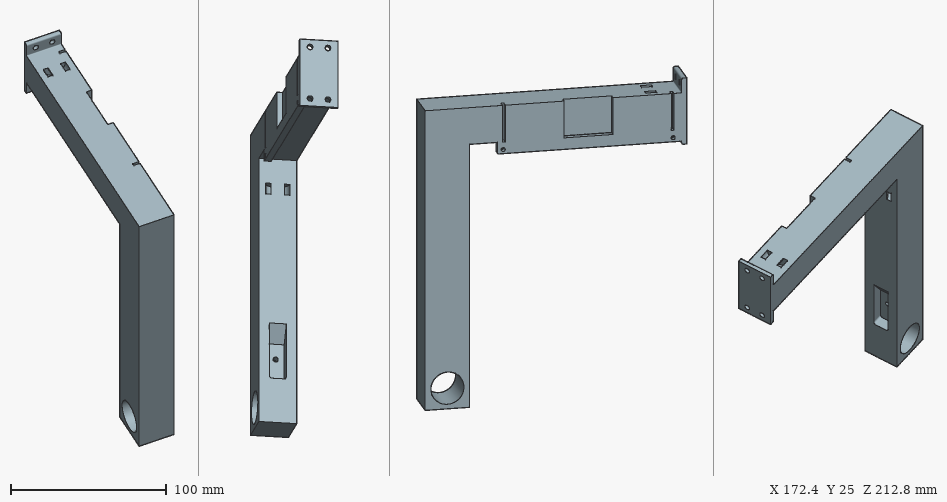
import cadquery as cq

length = 172.4
width = 25.0
height = 212.8
leg_width = 29.4
arm_height = width
mid_y = width / 2
leg_inner_x = length - leg_width
leg_mid_x = length - leg_width / 2

plate_thickness = 3.5
plate_height = 45.0
plate_edge_radius = 1.3
plate_root_radius = 0.6
plate_hole_diameter = 3.6
plate_hole_spacing_y = 11.7
plate_hole_spacing_z = 35.0
plate_overhang = (plate_height - arm_height) / 2
arm_top = height - plate_overhang
arm_bottom = arm_top - arm_height
arm_mid_z = arm_top - arm_height / 2

lip_end_x = 124.7
lip_height = 7.9
lip_thickness = 4.5
lip_corner_radius = 0.9
lip_hole_diameter = 2.5
lip_hole_drop = 5.1
lip_hole_inset = 3.8
lip_hole_start_x = 9.0

rear_channels = [
    (8.5, 1.7, lip_thickness),
    (48.7, 32.1, 3.8),
    (119.5, 1.7, lip_thickness),
]

tie_outer_radius = 7.9
tie_inner_radius = 4.5
tie_width = 7.2
arm_tie_x = 22.3
leg_tie_z = 158.0

bore_diameter = 21.7
bore_z = 14.0
pocket_width = 11.0
pocket_bottom = 29.8
pocket_top = 67.0
pocket_back_top = 55.3
pocket_depth = 7.7
pocket_corner_radius = 1.7
pocket_hole_diameter = 3.2
pocket_hole_z = 45.1
pocket_hole_depth = 6.4


def block(x, y, z, size_x, size_y, size_z):
    """Box given by its minimum corner and its size."""
    return cq.Workplane("XY").box(size_x, size_y, size_z, centered=False).translate((x, y, z))


def rod(diameter, rod_length, start, direction):
    """Cylinder that runs from a start point along a direction."""
    return cq.Workplane(
        cq.Solid.makeCylinder(diameter / 2, rod_length, cq.Vector(*start), cq.Vector(*direction))
    )


def make_frame():
    """Plate, arm and leg, with rounded plate edges and a rounded upper root."""
    plate = block(0, 0, height - plate_height, plate_thickness, width, plate_height)
    arm = block(0, 0, arm_bottom, length, width, arm_height)
    leg = block(leg_inner_x, 0, 0, leg_width, width, arm_top)
    frame = plate.union(arm).union(leg)
    for z in (height, height - plate_height):
        frame = frame.edges(cq.NearestToPointSelector((plate_thickness, mid_y, z))).fillet(plate_edge_radius)
    root = cq.NearestToPointSelector((plate_thickness, mid_y, arm_top))
    return frame.edges(root).fillet(plate_root_radius)


def make_lip():
    """Lip with one rounded end corner and a hole near each end."""
    lip_length = lip_end_x - plate_thickness
    lip_y = width - lip_thickness
    lip = block(plate_thickness, lip_y, arm_bottom - lip_height, lip_length, lip_thickness, lip_height)
    lip = lip.edges("|Y and >X and <Z").fillet(lip_corner_radius)
    for x in (lip_hole_start_x, lip_end_x - lip_hole_inset):
        lip = lip.cut(rod(lip_hole_diameter, width, (x, 0, arm_bottom - lip_hole_drop), (0, 1, 0)))
    return lip


def make_plate_holes():
    holes = cq.Workplane("YZ").center(mid_y, arm_mid_z)
    holes = holes.rarray(plate_hole_spacing_y, plate_hole_spacing_z, 2, 2)
    return holes.circle(plate_hole_diameter / 2).extrude(plate_thickness)


def make_tie_ring(plane, center):
    """Full ring centred on a face; the half inside the part forms the tunnel."""
    ring = cq.Workplane(plane, origin=center).circle(tie_outer_radius).circle(tie_inner_radius)
    ring = ring.extrude(tie_width)
    return ring.translate(cq.Plane.named(plane).zDir * (-tie_width / 2))


def make_pocket():
    """Pocket with a sloped ceiling, rounded lower corners and a blind screw hole."""
    profile = [
        (leg_inner_x, pocket_bottom),
        (leg_inner_x + pocket_depth, pocket_bottom),
        (leg_inner_x + pocket_depth, pocket_back_top),
        (leg_inner_x, pocket_top),
    ]
    pocket = cq.Workplane("XZ", origin=(0, mid_y + pocket_width / 2, 0)).polyline(profile).close()
    pocket = pocket.extrude(pocket_width)
    pocket = pocket.edges("|X").edges("<Z").fillet(pocket_corner_radius)
    hole_start = (leg_inner_x + pocket_depth, mid_y, pocket_hole_z)
    return pocket.union(rod(pocket_hole_diameter, pocket_hole_depth, hole_start, (1, 0, 0)))


result = make_frame()
for start_x, channel_length, depth in rear_channels:
    result = result.cut(block(start_x, width - depth, arm_bottom, channel_length, depth, arm_height))
result = result.union(make_lip())
result = result.cut(make_plate_holes())
result = result.cut(make_tie_ring("YZ", (arm_tie_x, mid_y, arm_top)))
result = result.cut(make_tie_ring("XY", (leg_inner_x, mid_y, leg_tie_z)))
result = result.cut(make_pocket())
result = result.cut(rod(bore_diameter, width, (leg_mid_x, 0, bore_z), (0, 1, 0)))